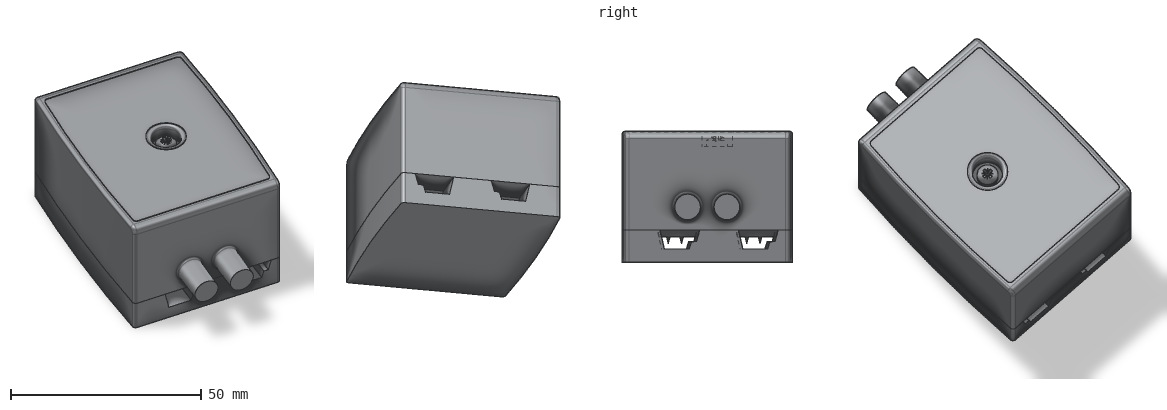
import cadquery as cq
import math

OVERALL_LENGTH = 70.0
HOUSING_LENGTH = 60.0
HOUSING_WIDTH = 44.95
SIDE_BOW = 1.0
HOUSING_HEIGHT = 34.5
BASE_HEIGHT = 8.5
EDGE_RADIUS = 1.0
END_EDGE_RADIUS = 1.95

PANEL_END_INSET = 2.8
PANEL_SIDE_INSET = 1.55
PANEL_DEPTH = 0.2
PANEL_CORNER_RADIUS = 1.05

BORE_Y = 2.6
COLLAR_DIAMETER = 10.65
BORE_DIAMETER = 8.0
BORE_DEPTH = 4.0
BORE_LIP_RADIUS = 1.0

HEAD_DIAMETER = 5.6
HEAD_RIM_HEIGHT = 1.5
HEAD_HEIGHT = 2.65
DRIVE_LENGTH = 3.35
DRIVE_FLOOR_LENGTH = 0.7
DRIVE_WIDTH = 0.8
DRIVE_DEPTH = 1.4
TICK_LENGTH = 2.8
TICK_WIDTH = 0.1
TICK_DEPTH = 0.55

SLEEVE_LENGTH = OVERALL_LENGTH - HOUSING_LENGTH
SLEEVE_ROOT_DIAMETER = 7.1
SLEEVE_TIP_DIAMETER = 6.7
SLEEVE_ROOT_RADIUS = 0.55
SLEEVE_SPACING = 10.35
SLEEVE_HEIGHT = 14.55

CHANNEL_ORIGINS = (8.6, -12.05)
CHANNEL_FLOOR = 3.5
CHANNEL_SHELF = 5.45
CHANNEL_FLOOR_WIDTH = 6.5
CHANNEL_SHELF_INNER = 7.15
CHANNEL_SHELF_OUTER = 8.5
CHANNEL_TOP_LEFT = 9.3
CHANNEL_TOP_RIGHT = -1.1
CHANNEL_DRIFT = 0.8

TONGUE_BOTTOM = 6.7
TONGUE_END_INSET = 10.5
SPIKE_DIAMETER = 1.0
SPIKE_LENGTH = 1.8
SPIKE_OFFSETS = (1.4, 4.9)

HALF_LENGTH = HOUSING_LENGTH / 2
HALF_WIDTH = HOUSING_WIDTH / 2
BORE_FLOOR = HOUSING_HEIGHT - BORE_DEPTH


def bowed_block(end_inset, side_inset, bottom, top):
    """Block with two straight ends and two outward-bowed long sides."""
    x = HALF_LENGTH - end_inset
    crown = HALF_WIDTH - side_inset
    corner = crown - SIDE_BOW
    return (
        cq.Workplane("XY", origin=(0, 0, bottom))
        .moveTo(-x, -corner)
        .threePointArc((0, -crown), (x, -corner))
        .lineTo(x, corner)
        .threePointArc((0, crown), (-x, corner))
        .close()
        .extrude(top - bottom)
    )


def channel_drift(x):
    """Sideways shift of a channel at the given X, measured from the -X end."""
    return CHANNEL_DRIFT * (x + HALF_LENGTH) / HOUSING_LENGTH


def sheared_prism(profile, origin_y, x_start, x_end):
    """Loft a (y, z) profile along a channel, following its sideways drift."""
    start = [(origin_y + channel_drift(x_start) + y, z) for y, z in profile]
    end = [(origin_y + channel_drift(x_end) + y, z) for y, z in profile]
    return (
        cq.Workplane("YZ", origin=(x_start, 0, 0))
        .polyline(start).close()
        .workplane(offset=x_end - x_start)
        .polyline(end).close()
        .loft(ruled=True)
    )


def cable_channel(origin_y):
    profile = [
        (0, CHANNEL_FLOOR),
        (CHANNEL_FLOOR_WIDTH, CHANNEL_FLOOR),
        (CHANNEL_SHELF_INNER, CHANNEL_SHELF),
        (CHANNEL_SHELF_OUTER, CHANNEL_SHELF),
        (CHANNEL_TOP_LEFT, BASE_HEIGHT),
        (CHANNEL_TOP_RIGHT, BASE_HEIGHT),
    ]
    return sheared_prism(profile, origin_y, -HALF_LENGTH, HALF_LENGTH)


def cable_clamp(origin_y):
    """Tongue that closes the top of a channel, with two spikes under it."""
    left_slope = (CHANNEL_TOP_LEFT - CHANNEL_SHELF_OUTER) / (BASE_HEIGHT - CHANNEL_SHELF)
    right_slope = CHANNEL_TOP_RIGHT / (BASE_HEIGHT - CHANNEL_FLOOR)
    drop = BASE_HEIGHT - TONGUE_BOTTOM
    profile = [
        (CHANNEL_TOP_RIGHT - right_slope * drop, TONGUE_BOTTOM),
        (CHANNEL_TOP_LEFT - left_slope * drop, TONGUE_BOTTOM),
        (CHANNEL_TOP_LEFT, BASE_HEIGHT),
        (CHANNEL_TOP_RIGHT, BASE_HEIGHT),
    ]
    x_end = HALF_LENGTH - TONGUE_END_INSET
    clamp = sheared_prism(profile, origin_y, -x_end, x_end)
    for offset in SPIKE_OFFSETS:
        root = cq.Vector(0, origin_y + channel_drift(0) + offset, TONGUE_BOTTOM)
        spike = cq.Solid.makeCone(SPIKE_DIAMETER / 2, 0, SPIKE_LENGTH, root, cq.Vector(0, 0, -1))
        clamp = clamp.union(cq.Workplane(spike))
    return clamp


def make_base():
    base = bowed_block(0, 0, 0, BASE_HEIGHT).edges("|Z").fillet(EDGE_RADIUS)
    for origin_y in CHANNEL_ORIGINS:
        base = base.cut(cable_channel(origin_y))
    return base


def cover_block():
    """Cover body with its rounded edges."""
    block = bowed_block(0, 0, BASE_HEIGHT, HOUSING_HEIGHT)
    block = block.faces(">Z").edges("<X or >X").fillet(END_EDGE_RADIUS)
    return block.edges("|Z").fillet(EDGE_RADIUS)


def cable_sleeve(y):
    return (
        cq.Workplane("YZ", origin=(HALF_LENGTH, y, SLEEVE_HEIGHT))
        .circle(SLEEVE_ROOT_DIAMETER / 2)
        .workplane(offset=SLEEVE_LENGTH)
        .circle(SLEEVE_TIP_DIAMETER / 2)
        .loft()
    )


def make_cover():
    cover = cover_block()

    for y in (-SLEEVE_SPACING / 2, SLEEVE_SPACING / 2):
        cover = cover.union(cable_sleeve(y))
    end_wall = cover.faces(cq.selectors.NearestToPointSelector((HALF_LENGTH, 0, SLEEVE_HEIGHT)))
    cover = end_wall.edges("%CIRCLE").fillet(SLEEVE_ROOT_RADIUS)

    bore = cq.Workplane("XY", origin=(0, BORE_Y, BORE_FLOOR)).circle(BORE_DIAMETER / 2).extrude(BORE_DEPTH)
    cover = cover.cut(bore)
    cover = cover.faces(">Z").edges(cq.selectors.RadiusNthSelector(0)).fillet(BORE_LIP_RADIUS)

    panel_floor = HOUSING_HEIGHT - PANEL_DEPTH
    panel = bowed_block(PANEL_END_INSET, PANEL_SIDE_INSET, panel_floor, HOUSING_HEIGHT)
    panel = panel.edges("|Z").fillet(PANEL_CORNER_RADIUS)
    collar_centre = cq.Workplane("XY", origin=(0, BORE_Y, panel_floor))
    collar = collar_centre.circle(COLLAR_DIAMETER / 2).extrude(PANEL_DEPTH)
    cover = cover.cut(panel.cut(collar))

    for origin_y in CHANNEL_ORIGINS:
        cover = cover.union(cable_clamp(origin_y))
    return cover


def make_screw():
    """Domed head resting on the bore floor, with a cross drive."""
    radius = HEAD_DIAMETER / 2
    dome_rise = HEAD_HEIGHT - HEAD_RIM_HEIGHT
    dome_radius = (radius**2 + dome_rise**2) / (2 * dome_rise)
    mid_radius = radius / 2
    mid_height = HEAD_HEIGHT - dome_radius + math.sqrt(dome_radius**2 - mid_radius**2)
    screw = (
        cq.Workplane("XZ")
        .lineTo(radius, 0)
        .lineTo(radius, HEAD_RIM_HEIGHT)
        .threePointArc((mid_radius, mid_height), (0, HEAD_HEIGHT))
        .close()
        .revolve(360, (0, 0), (0, 1))
    )
    arm = (
        cq.Workplane("XZ", origin=(0, DRIVE_WIDTH / 2, 0))
        .moveTo(-DRIVE_LENGTH / 2, HEAD_HEIGHT)
        .lineTo(-DRIVE_FLOOR_LENGTH / 2, HEAD_HEIGHT - DRIVE_DEPTH)
        .lineTo(DRIVE_FLOOR_LENGTH / 2, HEAD_HEIGHT - DRIVE_DEPTH)
        .lineTo(DRIVE_LENGTH / 2, HEAD_HEIGHT)
        .close()
        .extrude(DRIVE_WIDTH)
    )
    tick = (
        cq.Workplane("XY", origin=(0, 0, HEAD_HEIGHT))
        .rect(TICK_LENGTH, TICK_WIDTH)
        .extrude(-TICK_DEPTH)
    )
    for angle in (0, 90):
        screw = screw.cut(arm.rotate((0, 0, 0), (0, 0, 1), angle))
        screw = screw.cut(tick.rotate((0, 0, 0), (0, 0, 1), angle + 45))
    return screw.translate((0, BORE_Y, BORE_FLOOR))


base = make_base()
cover = make_cover()
screw = make_screw()

result = cq.Compound.makeCompound([body.solids().val() for body in (base, cover, screw)])